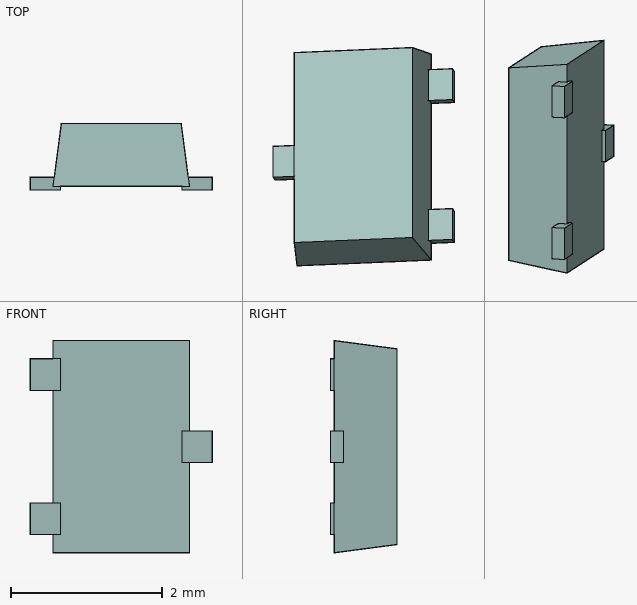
import cadquery as cq
import math

housing_width = 1.8
housing_height = 2.8
housing_depth = 0.83
draft_angle = 7.5

lead_span = 2.4
lead_length = 0.4
lead_width = 0.42
lead_thickness = 0.17
lead_standoff = 0.05
lead_pitch = 0.95

housing_front = lead_standoff
lead_center_x = (lead_span - lead_length) / 2
lead_centers = [
    (-lead_center_x, lead_pitch),
    (-lead_center_x, -lead_pitch),
    (lead_center_x, 0),
]


def make_lead(center_x, center_z):
    """Flat rectangular lead standing on the mounting plane."""
    return (
        cq.Workplane("XY")
        .box(lead_length, lead_thickness, lead_width)
        .translate((center_x, lead_thickness / 2, center_z))
    )


def make_housing(leads):
    """Block tapering toward +Y, with a recess for each lead."""
    inset = housing_depth * math.tan(math.radians(draft_angle))
    back_width = housing_width - 2 * inset
    back_height = housing_height - 2 * inset
    body = (
        cq.Workplane("XZ", origin=(0, housing_front, 0))
        .rect(housing_width, housing_height)
        .workplane(offset=-housing_depth)
        .rect(back_width, back_height)
        .loft(ruled=True)
    )
    for lead in leads:
        body = body.cut(lead)
    return body


leads = [make_lead(x, z) for x, z in lead_centers]
housing = make_housing(leads)

result = cq.Compound.makeCompound([housing.val(), *[lead.val() for lead in leads]])